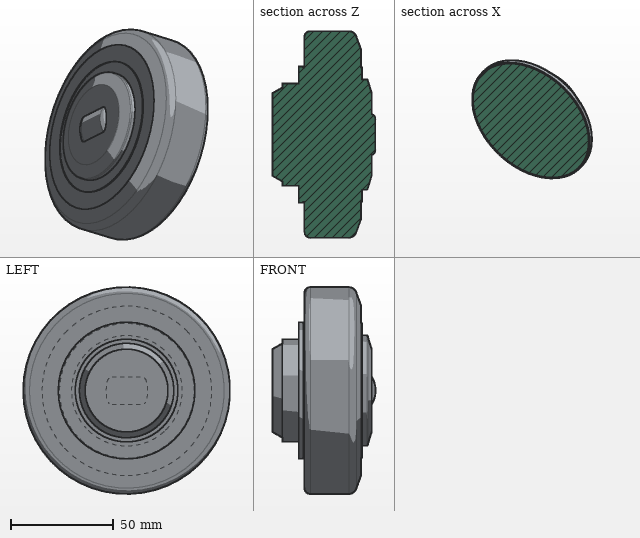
import cadquery as cq
import math

nose_tip_radius = 20.2
nose_base_radius = 23.1
nose_end = 5.0
hub_radius = 25.1
hub_end = 12.9

flange_radius = 33.4
flange_end = 15.1
sleeve_radius = 32.9
sleeve_end = 43.9

tyre_radius = 50.6
tyre_start = 15.6
tyre_end = 43.4
inner_rim_round = 3.0
outer_rim_round = 4.0
outer_round_start = 37.2
tyre_cone_angle = math.radians(20)

cap_radius = 27.0
cap_end = 48.6
cap_edge_round = 0.6
cap_round_start = 46.0
cap_cone_angle = math.radians(17)

roller_tip = 50.5
roller_radius = 12.5
roller_half_width = 10.2
roller_edge_round = 2.7


def disc(start, end, radius):
    """Plain cylinder around the wheel axis."""
    return cq.Workplane("YZ").workplane(offset=start).circle(radius).extrude(end - start)


def revolve_about_x(profile):
    """Close a half profile in the XY plane and spin it around the wheel axis."""
    return profile.close().revolve(360, (0, 0, 0), (1, 0, 0))


def round_into_cone(profile, start, end, radius, edge_round, cone_angle):
    """Continue a rim profile with a tangent round and a cone down to the end face."""

    def round_point(turn):
        x = start + edge_round * math.sin(turn)
        y = radius - edge_round * (1 - math.cos(turn))
        return (x, y)

    full_turn = math.pi / 2 - cone_angle
    cone_x, cone_y = round_point(full_turn)
    end_radius = cone_y - (end - cone_x) / math.tan(cone_angle)
    return (
        profile.threePointArc(round_point(full_turn / 2), (cone_x, cone_y))
        .lineTo(end, end_radius)
        .lineTo(end, 0)
    )


def make_nose():
    profile = (
        cq.Workplane("XY")
        .lineTo(0, nose_tip_radius)
        .lineTo(nose_end, nose_base_radius)
        .lineTo(nose_end, 0)
    )
    return revolve_about_x(profile)


def make_tyre():
    profile = (
        cq.Workplane("XY")
        .moveTo(tyre_start, 0)
        .lineTo(tyre_start, tyre_radius - inner_rim_round)
        .radiusArc((tyre_start + inner_rim_round, tyre_radius), inner_rim_round)
        .lineTo(outer_round_start, tyre_radius)
    )
    profile = round_into_cone(
        profile, outer_round_start, tyre_end, tyre_radius, outer_rim_round, tyre_cone_angle
    )
    return revolve_about_x(profile)


def make_cap():
    profile = (
        cq.Workplane("XY")
        .moveTo(sleeve_end, 0)
        .lineTo(sleeve_end, cap_radius)
        .lineTo(cap_round_start, cap_radius)
    )
    profile = round_into_cone(
        profile, cap_round_start, cap_end, cap_radius, cap_edge_round, cap_cone_angle
    )
    return revolve_about_x(profile)


def make_roller():
    return (
        cq.Workplane("XZ")
        .center(roller_tip - roller_radius, 0)
        .circle(roller_radius)
        .extrude(roller_half_width, both=True)
        .edges("%CIRCLE")
        .fillet(roller_edge_round)
    )


result = (
    make_nose()
    .union(disc(nose_end, hub_end, hub_radius))
    .union(disc(hub_end, flange_end, flange_radius))
    .union(disc(flange_end, sleeve_end, sleeve_radius))
    .union(make_tyre())
    .union(make_cap())
    .union(make_roller())
)